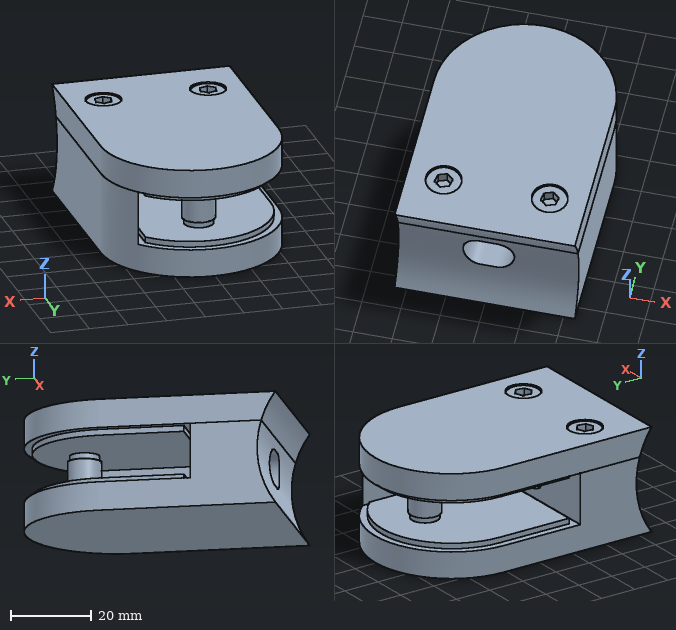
import cadquery as cq
import math


length = 67.65
width = 46.0
height = 28.5
round_radius = width / 2
round_center_y = length - round_radius
saddle_radius = 24.15

slot_height = 13.95
slot_end_y = 21.6
side_wall_thickness = 5.5
slot_top_z = slot_height / 2
side_wall_x = width / 2 - side_wall_thickness

gasket_thickness = 1.5
gasket_margin = 2.0
gasket_radius = round_radius - gasket_margin
gasket_end_y = slot_end_y + gasket_margin
gasket_side_x = side_wall_x - gasket_margin

pin_diameter = 8.45
pin_end_diameter = 7.5
pin_body_height = 7.9
pin_center_y = 52.7
pin_height = slot_height - 2 * gasket_thickness

opening_width = 13.05
opening_height = 9.0

screw_spacing = 27.05
screw_y = 13.65
screw_recess = 0.2
screw_head_diameter = 9.05
screw_head_height = 5.0
screw_head_fillet = 0.7
screw_shank_diameter = 5.0
screw_shank_depth = 9.5
socket_across_flats = 4.0
socket_depth = 2.5
socket_turn = 20.0
screw_top_z = height / 2 - screw_recess
head_bottom_z = screw_top_z - screw_head_height
shank_bottom_z = slot_top_z - screw_shank_depth
screw_places = [(-screw_spacing / 2, screw_y), (screw_spacing / 2, screw_y)]


def cylinder(diameter, bottom_z, top_z):
    """Upright cylinder on the Z axis."""
    return cq.Workplane("XY", origin=(0, 0, bottom_z)).circle(diameter / 2).extrude(top_z - bottom_z)


def rounded_plate(radius, start_y, bottom_z, top_z):
    """Plate with one square end and one full-round end of the given radius."""
    return (
        cq.Workplane("XY", origin=(0, 0, bottom_z))
        .moveTo(-radius, start_y)
        .lineTo(radius, start_y)
        .lineTo(radius, round_center_y)
        .threePointArc((0, round_center_y + radius), (-radius, round_center_y))
        .close()
        .extrude(top_z - bottom_z)
    )


def saddle_cutter():
    """Tube along X whose surface meets the top and bottom edges of the flat end."""
    axis_y = -math.sqrt(saddle_radius**2 - (height / 2) ** 2)
    return (
        cq.Workplane("YZ", origin=(-width / 2, 0, 0))
        .center(axis_y, 0)
        .circle(saddle_radius)
        .extrude(width)
    )


def slot_cutter():
    """Slot space that leaves a wall along the +X side."""
    return cq.Workplane("XY").box(
        side_wall_x + width / 2, length - slot_end_y, slot_height, centered=False
    ).translate((-width / 2, slot_end_y, -slot_height / 2))


def opening_cutter():
    """Oblong passage along Y from the saddle to the slot."""
    return cq.Workplane("XZ").slot2D(opening_width, opening_height).extrude(-slot_end_y)


def screw_hole_cutter():
    """Counterbored hole for one screw, on the Z axis."""
    shank = cylinder(screw_shank_diameter, shank_bottom_z, head_bottom_z)
    return shank.union(cylinder(screw_head_diameter, head_bottom_z, height / 2))


def cut_screw_holes(body):
    for x, y in screw_places:
        body = body.cut(screw_hole_cutter().translate((x, y, 0)))
    return body


def make_base():
    """Lower plate, saddle block and side wall in one piece."""
    base = rounded_plate(round_radius, 0, -height / 2, slot_top_z)
    base = base.cut(slot_cutter()).cut(opening_cutter()).cut(saddle_cutter())
    return cut_screw_holes(base)


def make_cover():
    """Upper plate, screwed onto the base."""
    cover = rounded_plate(round_radius, 0, slot_top_z, height / 2)
    return cut_screw_holes(cover.cut(saddle_cutter()))


def make_gasket(bottom_z):
    """Flat pad with a rounded end, cut straight beside the side wall."""
    top_z = bottom_z + gasket_thickness
    pad = rounded_plate(gasket_radius, gasket_end_y, bottom_z, top_z)
    beside_wall = cq.Workplane("XY").box(width, length, height, centered=(False, False, True))
    return pad.cut(beside_wall.translate((gasket_side_x, 0, 0)))


def make_pin():
    """Pin with a reduced diameter at both ends, standing between the gaskets."""
    core = cylinder(pin_end_diameter, -pin_height / 2, pin_height / 2)
    body = cylinder(pin_diameter, -pin_body_height / 2, pin_body_height / 2)
    return core.union(body).translate((0, pin_center_y, 0))


def make_screw(x, y):
    """Socket-head screw, its head sunk in the cover and its shank in the base."""
    head = cylinder(screw_head_diameter, head_bottom_z, screw_top_z)
    head = head.faces(">Z").edges().fillet(screw_head_fillet)
    socket_corner_diameter = socket_across_flats / math.cos(math.pi / 6)
    socket = (
        cq.Workplane("XY", origin=(0, 0, screw_top_z - socket_depth))
        .polygon(6, socket_corner_diameter)
        .extrude(socket_depth)
        .rotate((0, 0, 0), (0, 0, 1), socket_turn)
    )
    shank = cylinder(screw_shank_diameter, shank_bottom_z, head_bottom_z)
    return head.union(shank).cut(socket).translate((x, y, 0))


base = make_base()
cover = make_cover()
gaskets = [make_gasket(z) for z in (-slot_height / 2, slot_top_z - gasket_thickness)]
pin = make_pin()
screws = [make_screw(x, y) for x, y in screw_places]

result = cq.Compound.makeCompound(
    [body.val() for body in [base, cover, *gaskets, pin, *screws]]
)